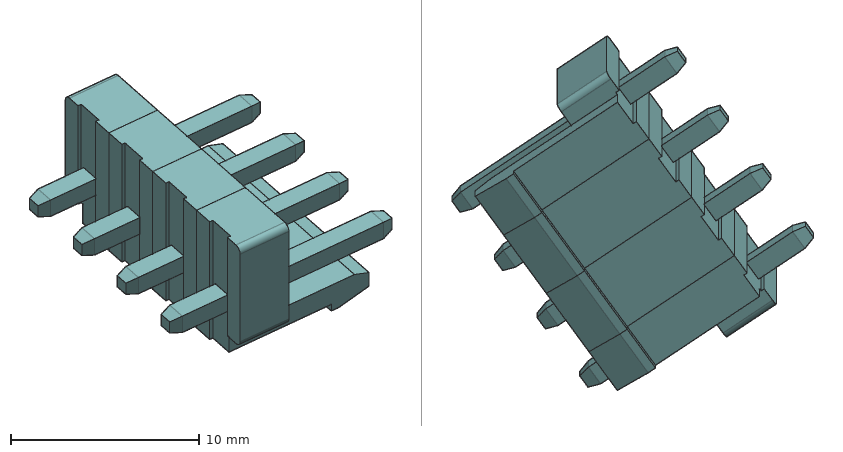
import cadquery as cq


SEGMENT_COUNT = 4
PITCH = 3.96
ROW_LENGTH = 15.78
FOOT_ROW_LENGTH = 13.19

WALL_DEPTH = 3.2
WALL_HEIGHT = 6.82
WALL_TOP = 4.8
WALL_BOTTOM = WALL_TOP - WALL_HEIGHT
CORNER_RADIUS = 0.38

GROOVE_WIDTH = 1.6
GROOVE_DEPTH = 0.2

FOOT_THICKNESS = 1.33
FOOT_OVERHANG = 6.2
FOOT_END = WALL_DEPTH + FOOT_OVERHANG
FOOT_BOTTOM = WALL_BOTTOM - FOOT_THICKNESS
TIP_BEVEL_LENGTH = 0.96
TIP_BEVEL_DROP = 0.33
TIP_FACE_HEIGHT = 0.95
HOOK_DROP = 0.45
HOOK_LENGTH = 2.48
HOOK_FLAT = 0.47
HOOK_BOTTOM = FOOT_BOTTOM - HOOK_DROP

PIN_SIZE = 1.14
PIN_TIP_SIZE = 0.77
PIN_TAPER_LENGTH = 0.7
PIN_FRONT_LENGTH = 3.49
PIN_LENGTH = 14.6
PIN_SHANK_LENGTH = PIN_LENGTH - 2 * PIN_TAPER_LENGTH
PIN_FRONT_END = -PIN_FRONT_LENGTH
PIN_BACK_END = PIN_FRONT_END + PIN_LENGTH


def make_wall(left, right, is_first, is_last):
    """Wall block; the free end of an outer segment has rounded corners."""
    wall = cq.Workplane("XY").box(right - left, WALL_DEPTH, WALL_HEIGHT, centered=False)
    wall = wall.translate((left, 0, WALL_BOTTOM))
    if is_first:
        wall = wall.edges("|Y and <X").fillet(CORNER_RADIUS)
    if is_last:
        wall = wall.edges("|Y and >X").fillet(CORNER_RADIUS)
    return wall


def make_foot(left, right):
    """Latch foot under the wall, reaching backward to a bevelled tip with a hook."""
    tip_top = WALL_BOTTOM - TIP_BEVEL_DROP
    hook_front = FOOT_END - HOOK_LENGTH
    profile = [
        (0, WALL_BOTTOM),
        (FOOT_END - TIP_BEVEL_LENGTH, WALL_BOTTOM),
        (FOOT_END, tip_top),
        (FOOT_END, tip_top - TIP_FACE_HEIGHT),
        (hook_front + HOOK_FLAT, HOOK_BOTTOM),
        (hook_front, HOOK_BOTTOM),
        (hook_front, FOOT_BOTTOM),
        (0, FOOT_BOTTOM),
    ]
    foot = cq.Workplane("YZ").polyline(profile).close().extrude(right - left)
    return foot.translate((left, 0, 0))


def make_groove(pin_x):
    """Cutter for the shallow groove over the full height of the front face."""
    height = WALL_TOP - FOOT_BOTTOM
    cutter = cq.Workplane("XY").box(
        GROOVE_WIDTH, GROOVE_DEPTH, height, centered=(True, False, False)
    )
    return cutter.translate((pin_x, 0, FOOT_BOTTOM))


def make_pin_taper(pin_x, end_y, inward):
    """Tapered pin end; inward is the Y direction from the end toward the shank."""
    end_plane = cq.Plane(origin=(pin_x, end_y, 0), xDir=(1, 0, 0), normal=(0, inward, 0))
    return (
        cq.Workplane(end_plane)
        .rect(PIN_TIP_SIZE, PIN_TIP_SIZE)
        .workplane(offset=PIN_TAPER_LENGTH)
        .rect(PIN_SIZE, PIN_SIZE)
        .loft(ruled=True)
    )


def make_pin(pin_x):
    """Square pin along Y with both ends tapered."""
    shank = cq.Workplane("XY").box(
        PIN_SIZE, PIN_SHANK_LENGTH, PIN_SIZE, centered=(True, False, True)
    )
    shank = shank.translate((pin_x, PIN_FRONT_END + PIN_TAPER_LENGTH, 0))
    front_taper = make_pin_taper(pin_x, PIN_FRONT_END, 1)
    back_taper = make_pin_taper(pin_x, PIN_BACK_END, -1)
    return shank.union(front_taper).union(back_taper)


def make_segment(index):
    """One header segment; outer segments end at the row ends, inner ones at the seams."""
    pin_x = (index - (SEGMENT_COUNT - 1) / 2) * PITCH
    is_first = index == 0
    is_last = index == SEGMENT_COUNT - 1
    left_seam = pin_x - PITCH / 2
    right_seam = pin_x + PITCH / 2

    wall_left = -ROW_LENGTH / 2 if is_first else left_seam
    wall_right = ROW_LENGTH / 2 if is_last else right_seam
    foot_left = -FOOT_ROW_LENGTH / 2 if is_first else left_seam
    foot_right = FOOT_ROW_LENGTH / 2 if is_last else right_seam

    body = make_wall(wall_left, wall_right, is_first, is_last)
    body = body.union(make_foot(foot_left, foot_right))
    body = body.cut(make_groove(pin_x))
    return body.union(make_pin(pin_x))


segments = [make_segment(index) for index in range(SEGMENT_COUNT)]

result = cq.Compound.makeCompound([segment.solids().val() for segment in segments])